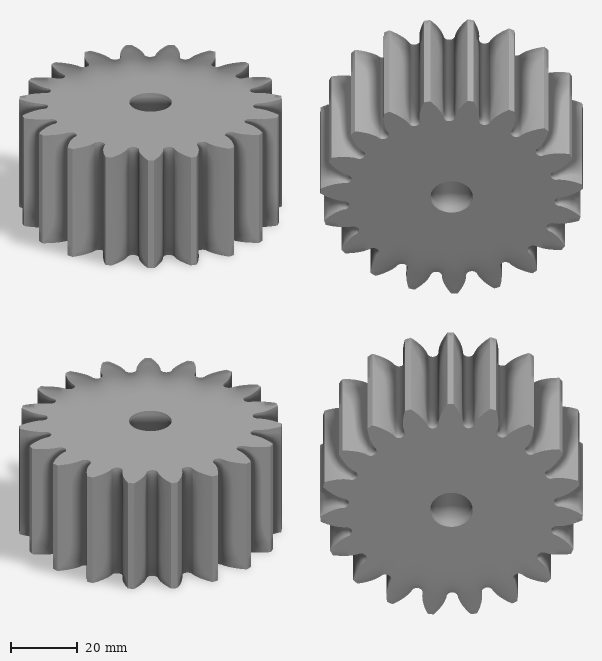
import cadquery as cq
import math

tooth_count = 19
tip_radius = 39.4
thickness = 36.0
bore_diameter = 12.7
pressure_angle = math.radians(25)
flank_start_offset = 0.1
flank_points = 8

module = 2 * tip_radius / (tooth_count + 2)
pitch_radius = module * tooth_count / 2
base_radius = pitch_radius * math.cos(pressure_angle)
tooth_pitch = 2 * math.pi / tooth_count


def involute(angle):
    return math.tan(angle) - angle


def polar(radius, angle):
    return (radius * math.cos(angle), radius * math.sin(angle))


def half_tooth_angle(radius):
    """Angle between the tooth centre line and its involute flank."""
    local_angle = math.acos(base_radius / radius)
    return tooth_pitch / 4 + involute(pressure_angle) - involute(local_angle)


flank_start_radius = base_radius + flank_start_offset
flank_radii = [
    flank_start_radius + (tip_radius - flank_start_radius) * i / (flank_points - 1)
    for i in range(flank_points)
]


def tooth_gap():
    """Cutter for the gap centred on +X, open past the tip circle."""
    half_gap = [tooth_pitch / 2 - half_tooth_angle(r) for r in flank_radii]
    lower = [polar(r, -a) for r, a in zip(flank_radii, half_gap)]
    upper = [polar(r, a) for r, a in zip(flank_radii, half_gap)]

    start_x, start_y = upper[0]
    flank_slope = half_gap[0] + math.acos(base_radius / flank_start_radius)
    floor_centre_x = start_x + start_y * math.tan(flank_slope)
    floor_radius = start_y / math.cos(flank_slope)
    floor_x = floor_centre_x - floor_radius

    tip_slope = half_gap[-1] + math.acos(base_radius / tip_radius)
    lower_tangents = [polar(1, -flank_slope), polar(1, -tip_slope)]
    upper_tangents = [polar(-1, tip_slope), polar(-1, flank_slope)]
    outer_x = tip_radius + module
    return (
        cq.Workplane("XY")
        .moveTo(*lower[0])
        .spline(lower[1:], tangents=lower_tangents, includeCurrent=True)
        .lineTo(outer_x, lower[-1][1])
        .lineTo(outer_x, upper[-1][1])
        .lineTo(*upper[-1])
        .spline(upper[-2::-1], tangents=upper_tangents, includeCurrent=True)
        .threePointArc((floor_x, 0), lower[0])
        .close()
        .extrude(thickness)
    )


result = cq.Workplane("XY").circle(tip_radius).circle(bore_diameter / 2).extrude(thickness)
gap = tooth_gap()
for tooth in range(tooth_count):
    gap_angle = 180 + (tooth + 0.5) * 360 / tooth_count
    result = result.cut(gap.rotate((0, 0, 0), (0, 0, 1), gap_angle))